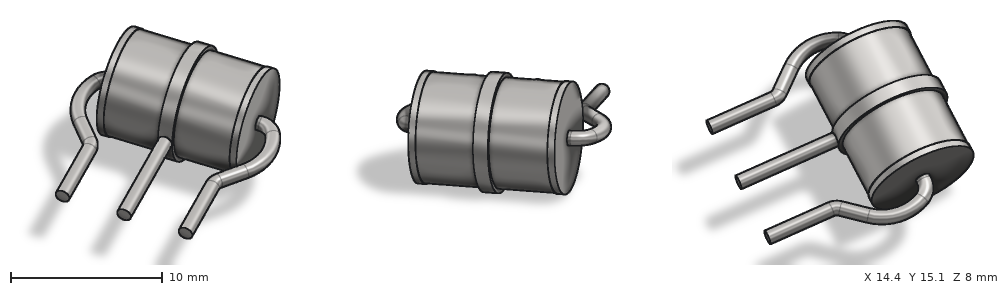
import cadquery as cq
import math

body_length = 10.0
body_diameter = 7.4
cap_diameter = 7.5
cap_width = 0.5
band_diameter = 8.0
band_width = 1.01
lead_diameter = 1.0
lead_pitch = 4.4
overall_depth = 15.1
stub_length = 0.2
overlap = 0.15
shoulder_radius = 1.28
shoulder_turn = 63.0
bulge_radius = 3.32
knee_radius = 0.9
knee_turn = 41.0

half_length = body_length / 2
tip_y = band_diameter / 2 - overall_depth


def disc(diameter, width, center_x):
    """Cylinder about the X axis, centred at center_x."""
    return (
        cq.Workplane("YZ", origin=(center_x - width / 2, 0, 0))
        .circle(diameter / 2)
        .extrude(width)
    )


def arc_point(center, radius, degrees):
    """Point on a circle in the XY plane, with the angle measured from +X."""
    angle = math.radians(degrees)
    return (
        center[0] + radius * math.cos(angle),
        center[1] + radius * math.sin(angle),
    )


def side_lead():
    """Lead leaving the +X end face: shoulder arc, bulge arc, slanted run, knee arc, straight tip."""
    bend_start_x = half_length + stub_length
    shoulder_center = (bend_start_x, -shoulder_radius)
    shoulder_end_angle = 90 - shoulder_turn
    bulge_center = arc_point(shoulder_center, shoulder_radius - bulge_radius, shoulder_end_angle)
    run_start = arc_point(bulge_center, bulge_radius, -knee_turn)

    knee_center_x = lead_pitch + knee_radius
    knee_start_x = knee_center_x - knee_radius * math.cos(math.radians(knee_turn))
    run_drop = (run_start[0] - knee_start_x) / math.tan(math.radians(knee_turn))
    knee_start = (knee_start_x, run_start[1] - run_drop)
    knee_center_y = knee_start[1] - knee_radius * math.sin(math.radians(knee_turn))
    knee_center = (knee_center_x, knee_center_y)

    path = (
        cq.Workplane("XY")
        .moveTo(half_length - overlap, 0)
        .lineTo(bend_start_x, 0)
        .threePointArc(
            arc_point(shoulder_center, shoulder_radius, 90 - shoulder_turn / 2),
            arc_point(shoulder_center, shoulder_radius, shoulder_end_angle),
        )
        .threePointArc(arc_point(bulge_center, bulge_radius, 0), run_start)
        .lineTo(*knee_start)
        .threePointArc(
            arc_point(knee_center, knee_radius, 180 - knee_turn / 2),
            (lead_pitch, knee_center_y),
        )
        .lineTo(lead_pitch, tip_y)
    )
    profile = cq.Workplane("YZ", origin=(half_length - overlap, 0, 0)).circle(lead_diameter / 2)
    return profile.sweep(path)


def center_lead():
    """Straight lead from the band to the tips."""
    root_y = -band_diameter / 2 + overlap
    return (
        cq.Workplane("XZ", origin=(0, root_y, 0))
        .circle(lead_diameter / 2)
        .extrude(root_y - tip_y)
    )


result = disc(body_diameter, body_length, 0).union(disc(band_diameter, band_width, 0))
for side in (-1, 1):
    result = result.union(disc(cap_diameter, cap_width, side * (half_length - cap_width / 2)))

right_lead = side_lead()
result = result.union(center_lead()).union(right_lead).union(right_lead.mirror("YZ"))